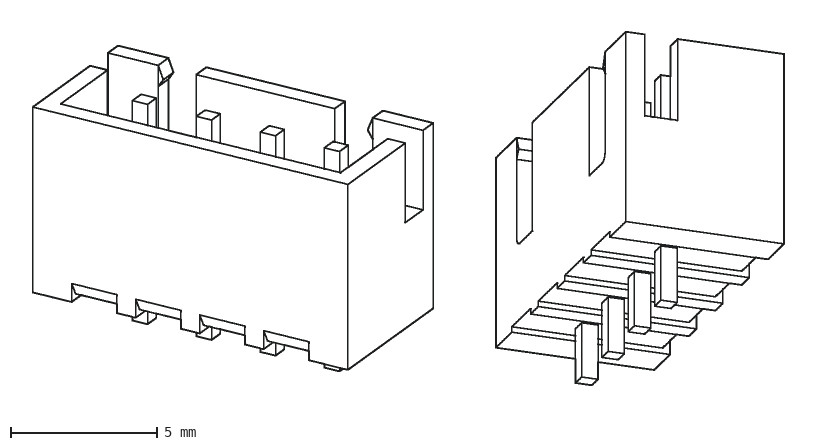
import cadquery as cq

length = 12.5
depth = 5.8
height = 7.0
wall = 0.7
floor_top = wall

post_width = 2.0
rear_slot_width = 1.5
rear_slot_depth = 4.0
slot_fillet = 0.3
end_slot_width = 1.2
end_slot_depth = 3.0

pin_count = 4
pin_pitch = 2.54
pin_size = 0.6
pin_top = 6.5
pin_tail = 1.8
pin_y = 3.4

notch_width = 1.8
notch_front_height = 0.7
notch_rear_height = 0.2
notch_slope_run = 0.28

latch_reach = 0.2
latch_height = 0.8
latch_apex_drop = 0.5

mid_x = length / 2
wall_inner_y = depth - wall
rear_slot_floor = height - rear_slot_depth
pin_xs = [mid_x + (i - (pin_count - 1) / 2) * pin_pitch for i in range(pin_count)]


def box(x, y, z, dx, dy, dz):
    """Box with its minimum corner at (x, y, z)."""
    return cq.Workplane("XY").box(dx, dy, dz, centered=False).translate((x, y, z))


def mirrored(shape):
    """Copy of a shape on the other side of the mid-length plane."""
    return shape.mirror("YZ", (mid_x, 0, 0))


def make_shell():
    """Open-topped box."""
    cavity = box(wall, wall, floor_top, length - 2 * wall, depth - 2 * wall, height - floor_top)
    return box(0, 0, 0, length, depth, height).cut(cavity)


def make_rear_slot():
    """Cutter beside the left post, with a rounded corner at the foot of the post."""
    slot = box(post_width, wall_inner_y, rear_slot_floor, rear_slot_width, wall, rear_slot_depth)
    return slot.edges("<X and <Z").fillet(slot_fillet)


def make_end_slot():
    """Cutter through the left end wall, in front of the left post."""
    slot_y = wall_inner_y - end_slot_width
    return box(0, slot_y, height - end_slot_depth, wall, end_slot_width, end_slot_depth)


def make_notch(x):
    """Cutter through the underside whose roof slopes down behind the front face."""
    return (
        cq.Workplane("YZ", origin=(x - notch_width / 2, 0, 0))
        .polyline([
            (0, 0),
            (0, notch_front_height),
            (notch_slope_run, notch_rear_height),
            (depth, notch_rear_height),
            (depth, 0),
        ])
        .close()
        .extrude(notch_width)
    )


def make_pin(x):
    """Square pin running through the housing floor."""
    return box(x - pin_size / 2, pin_y - pin_size / 2, -pin_tail, pin_size, pin_size, pin_top + pin_tail)


def make_housing():
    """Housing and the pins moulded into it, as one solid."""
    body = make_shell()
    for cutter in (make_rear_slot(), make_end_slot()):
        body = body.cut(cutter).cut(mirrored(cutter))
    for x in pin_xs:
        body = body.cut(make_notch(x))
    for x in pin_xs:
        body = body.union(make_pin(x))
    return body


def make_latch():
    """Triangular wedge at the top of the left post's inner edge."""
    return (
        cq.Workplane("XZ", origin=(0, depth, 0))
        .polyline([
            (post_width, height),
            (post_width + latch_reach, height - latch_apex_drop),
            (post_width, height - latch_height),
        ])
        .close()
        .extrude(wall)
    )


housing = make_housing()
left_latch = make_latch()
latches = [left_latch, mirrored(left_latch)]

result = cq.Compound.makeCompound([housing.val(), *[latch.val() for latch in latches]])